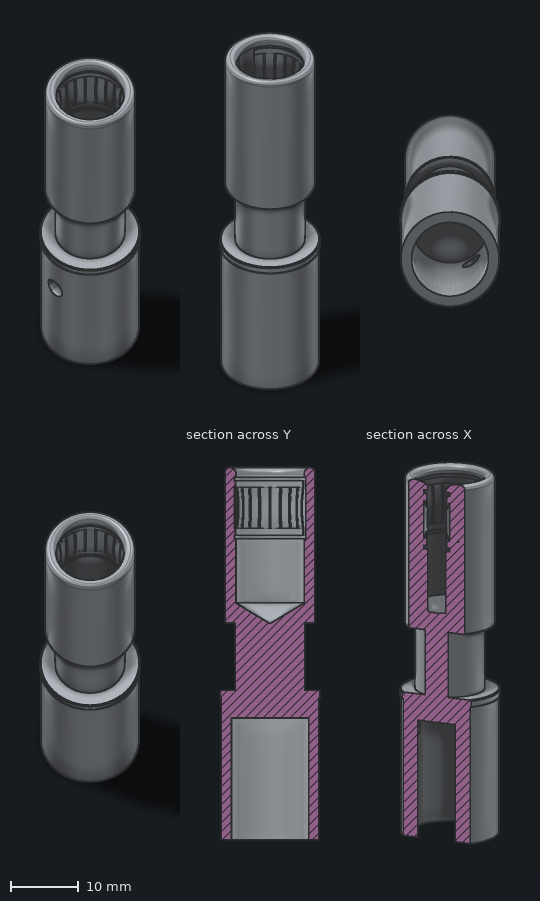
import cadquery as cq
import math

total_height = 55.0
flange_bottom = 21.0
flange_top = 22.1
sleeve_bottom = 32.0

barrel_radius = 7.25
flange_diameter = 14.8
flange_radius = flange_diameter / 2
neck_radius = 5.15
sleeve_radius = 6.65
edge_chamfer = 0.15

bore_radius = 5.0
mouth_round = 0.95
rim_round = sleeve_radius - bore_radius - mouth_round
bore_depth = 20.0
drill_point_angle = 118.0

groove_radius = 5.2
groove_start = 1.5
groove_length = 9.0

strip_start = 2.0
strip_length = 8.05
band_width = 1.0
strip_thickness = 0.15
slat_bow = 0.2
slat_pitches = 20
slot_width = 0.3
pitch_angle = 360.0 / slat_pitches
gap_pitches = 2

conductor_radius = 5.65
conductor_depth = 18.0
inspection_radius = 1.5
inspection_height = 15.0


def cylinder(radius, bottom, top):
    return cq.Workplane("XY").workplane(offset=bottom).circle(radius).extrude(top - bottom)


def make_outside():
    """Barrel, flange, neck and sleeve turned as one profile, with a rounded top rim."""
    rim_middle = rim_round * math.sqrt(0.5)
    rim_circle_radius = sleeve_radius - rim_round
    rim_circle_height = total_height - rim_round
    return (
        cq.Workplane("XZ")
        .lineTo(barrel_radius, 0)
        .lineTo(barrel_radius, flange_bottom)
        .lineTo(flange_radius, flange_bottom)
        .lineTo(flange_radius, flange_top - edge_chamfer)
        .lineTo(flange_radius - edge_chamfer, flange_top)
        .lineTo(neck_radius, flange_top)
        .lineTo(neck_radius, sleeve_bottom)
        .lineTo(sleeve_radius - edge_chamfer, sleeve_bottom)
        .lineTo(sleeve_radius, sleeve_bottom + edge_chamfer)
        .lineTo(sleeve_radius, rim_circle_height)
        .threePointArc(
            (rim_circle_radius + rim_middle, rim_circle_height + rim_middle),
            (rim_circle_radius, total_height),
        )
        .lineTo(0, total_height)
        .close()
        .revolve(360, (0, 0), (0, 1))
    )


def make_socket():
    """Space of the pin socket: rounded mouth, straight bore and drill-point floor."""
    mouth_radius = bore_radius + mouth_round
    mouth_bottom = total_height - mouth_round
    mouth_middle = mouth_round * math.sqrt(0.5)
    floor = total_height - bore_depth
    point_depth = bore_radius / math.tan(math.radians(drill_point_angle / 2))
    return (
        cq.Workplane("XZ")
        .moveTo(0, total_height)
        .lineTo(mouth_radius, total_height)
        .threePointArc(
            (mouth_radius - mouth_middle, mouth_bottom + mouth_middle),
            (bore_radius, mouth_bottom),
        )
        .lineTo(bore_radius, floor)
        .lineTo(0, floor - point_depth)
        .close()
        .revolve(360, (0, 0), (0, 1))
    )


def make_contact_strip():
    """Open ring with bowed slats, its gap facing +X; only the bands touch the groove wall."""
    gap_angle = gap_pitches * pitch_angle
    top = total_height - strip_start
    bottom = top - strip_length
    slat_top = top - band_width
    slat_bottom = bottom + band_width
    slat_middle = (slat_top + slat_bottom) / 2
    inner_radius = groove_radius - strip_thickness
    strip = (
        cq.Workplane("XZ")
        .moveTo(groove_radius, bottom)
        .lineTo(groove_radius, slat_bottom)
        .threePointArc((groove_radius - slat_bow, slat_middle), (groove_radius, slat_top))
        .lineTo(groove_radius, top)
        .lineTo(inner_radius, top)
        .lineTo(inner_radius, slat_top)
        .threePointArc((inner_radius - slat_bow, slat_middle), (inner_radius, slat_bottom))
        .lineTo(inner_radius, bottom)
        .close()
        .revolve(360 - gap_angle, (0, 0), (0, 1))
        .rotate((0, 0, 0), (0, 0, 1), gap_angle / 2)
    )
    slot = (
        cq.Workplane("XY")
        .box(groove_radius, slot_width, slat_top - slat_bottom)
        .translate((groove_radius, 0, slat_middle))
    )
    slot_count = slat_pitches - gap_pitches - 1
    for index in range(slot_count):
        slot_angle = gap_angle / 2 + (index + 1) * pitch_angle
        strip = strip.cut(slot.rotate((0, 0, 0), (0, 0, 1), slot_angle))
    return strip


groove_top = total_height - groove_start
groove = cylinder(groove_radius, groove_top - groove_length, groove_top)
conductor_bore = cylinder(conductor_radius, 0, conductor_depth)
inspection_hole = (
    cq.Workplane("XZ")
    .center(0, inspection_height)
    .circle(inspection_radius)
    .extrude(flange_radius)
)

result = (
    make_outside()
    .cut(make_socket())
    .cut(groove)
    .cut(conductor_bore)
    .cut(inspection_hole)
    .union(make_contact_strip())
)